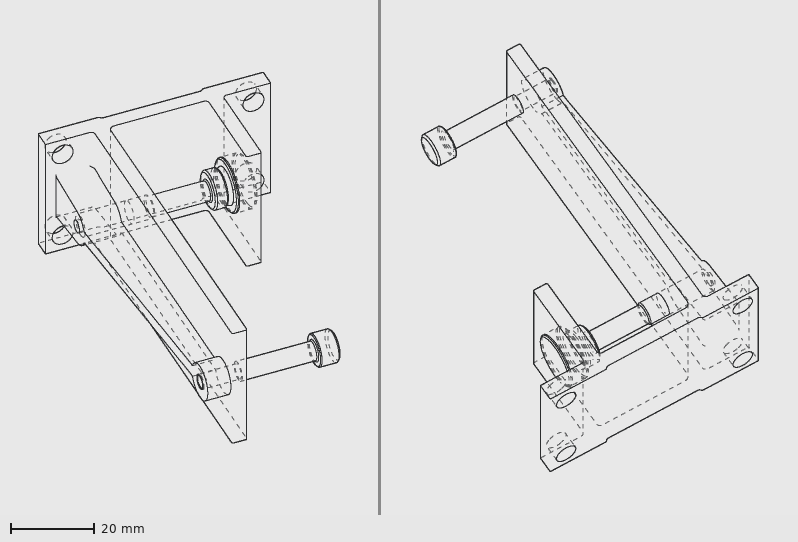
import cadquery as cq
import math

LENGTH = 88.5
HEIGHT = 34.0
PLATE_WIDTH = 59.0
PLATE_THICKNESS = 4.5
ARM_THICKNESS = 4.0
ARM_OFFSET = 15.0
SHORT_ARM_END = 28.05
PLATE_EDGE_RADIUS = 0.3
ARM_EDGE_RADIUS = 0.4
CORNER_RADIUS = 1.0
LONG_ARM_CORNER_RADIUS = 1.5

RECESS_DEPTH = 0.6
RECESS_HALF_WIDTH = 12.65
RECESS_RAMP = 1.3

MOUNT_HOLE_DIAMETER = 5.5
MOUNT_HOLE_SPACING_Y = 50.0
MOUNT_HOLE_SPACING_Z = 25.05

BOSS_RADIUS = 4.8
ROOT_X = 17.0
TIP_X = 83.0
ROOT_BOSS_FACE = -26.7
TIP_BOSS_FACE = -23.0
ROOT_HALF_HEIGHT = 6.1
ROOT_HOLE_RADIUS = 3.3 / 2
ROOT_HOLE_DEPTH = 1.0
RIB_WIDTH = 3.3
RIB_FLAT_X = 77.35
PLATE_BLEND_RADIUS = 0.5
RIB_BLEND_RADIUS = 0.7
FOOT_DEPTH = 1.8
FOOT_MARGIN = 1.8

ADJUSTER_SHAFT_RADIUS = 5.1 / 2
DISC_RADIUS = 14.0 / 2
DISC_OVERHANG = 0.7
DISC_CHAMFER = 0.35
NECK_TOP_RADIUS = 9.8 / 2
NECK_LOW_RADIUS = 9.1 / 2
KNOB_RADIUS = 10.0 / 2
KNOB_TOP = 11.1
KNOB_BOTTOM = 7.6
KNOB_CHAMFER = 0.4
COLLAR_RADIUS = 5.8 / 2
COLLAR_TOP = -7.4

SCREW_SHAFT_RADIUS = 5.0 / 2
HEAD_RADIUS = 8.5 / 2
HEAD_TOP = 12.1
HEAD_BOTTOM = 6.9
HEAD_TOP_CHAMFER = 0.5
HEAD_LOW_CHAMFER = 0.3
SCREW_SPIGOT_RADIUS = 3.8 / 2
SCREW_SPIGOT_CHAMFER = 0.3

UNDERHEAD_FLARE = 0.35

EDGE_PICK = 0.01

HALF_WIDTH = PLATE_WIDTH / 2
ARM_INNER = ARM_OFFSET - ARM_THICKNESS / 2
ARM_OUTER = ARM_OFFSET + ARM_THICKNESS / 2
DISC_TOP = ARM_OUTER + DISC_OVERHANG
DISC_BOTTOM = ARM_INNER - DISC_OVERHANG
ADJUSTER_END = ROOT_BOSS_FACE + ROOT_HOLE_DEPTH


def extrude_up(outline):
    """Extrude a closed XY outline, drawn at the lower face, over the full height."""
    return outline.close().extrude(HEIGHT)


def start_at_bottom():
    return cq.Workplane("XY", origin=(0, 0, -HEIGHT / 2))


def start_facing_front(y):
    """XZ workplane at the given Y; extrusions from it run toward -Y."""
    return cq.Workplane("XZ", origin=(0, y, 0))


def fillet_corners(body, corners, radius):
    """Round the Z-direction edges that pass through the given (x, y) corners."""
    for x, y in corners:
        low = (x - EDGE_PICK, y - EDGE_PICK, -HEIGHT)
        high = (x + EDGE_PICK, y + EDGE_PICK, HEIGHT)
        body = body.edges(cq.selectors.BoxSelector(low, high)).edges("|Z").fillet(radius)
    return body


def make_profile():
    """Plate and both arms as one extruded profile with rounded corners."""
    profile = extrude_up(
        start_at_bottom()
        .moveTo(0, -HALF_WIDTH)
        .lineTo(PLATE_THICKNESS, -HALF_WIDTH)
        .lineTo(PLATE_THICKNESS, -ARM_OUTER)
        .lineTo(LENGTH, -ARM_OUTER)
        .lineTo(LENGTH, -ARM_INNER)
        .lineTo(PLATE_THICKNESS, -ARM_INNER)
        .lineTo(PLATE_THICKNESS, ARM_INNER)
        .lineTo(SHORT_ARM_END, ARM_INNER)
        .lineTo(SHORT_ARM_END, ARM_OUTER)
        .lineTo(PLATE_THICKNESS, ARM_OUTER)
        .lineTo(PLATE_THICKNESS, HALF_WIDTH)
        .lineTo(0, HALF_WIDTH)
    )
    plate_corners = [(0, -HALF_WIDTH), (0, HALF_WIDTH)]
    arm_corners = [
        (LENGTH, -ARM_OUTER),
        (LENGTH, -ARM_INNER),
        (SHORT_ARM_END, ARM_INNER),
        (SHORT_ARM_END, ARM_OUTER),
    ]
    small_corners = [(PLATE_THICKNESS, y) for y in (-ARM_OUTER, ARM_INNER, ARM_OUTER)]
    profile = fillet_corners(profile, plate_corners, PLATE_EDGE_RADIUS)
    profile = fillet_corners(profile, arm_corners, ARM_EDGE_RADIUS)
    profile = fillet_corners(profile, small_corners, CORNER_RADIUS)
    return fillet_corners(profile, [(PLATE_THICKNESS, -ARM_INNER)], LONG_ARM_CORNER_RADIUS)


def make_recess():
    """Shallow relief in the back of the plate; each side is an S-curve of two tangent arcs."""
    inner = RECESS_HALF_WIDTH
    outer = inner + RECESS_RAMP
    middle = (inner + outer) / 2
    half_chord = math.hypot(RECESS_DEPTH, RECESS_RAMP) / 4
    sagitta = half_chord * math.tan(math.atan2(RECESS_DEPTH, RECESS_RAMP) / 2)
    return extrude_up(
        start_at_bottom()
        .moveTo(0, -outer)
        .sagittaArc((RECESS_DEPTH / 2, -middle), sagitta)
        .sagittaArc((RECESS_DEPTH, -inner), -sagitta)
        .lineTo(RECESS_DEPTH, inner)
        .sagittaArc((RECESS_DEPTH / 2, middle), -sagitta)
        .sagittaArc((0, outer), sagitta)
    )


def make_mount_holes():
    return (
        cq.Workplane("YZ")
        .rect(MOUNT_HOLE_SPACING_Y, MOUNT_HOLE_SPACING_Z, forConstruction=True)
        .vertices()
        .circle(MOUNT_HOLE_DIAMETER / 2)
        .extrude(PLATE_THICKNESS)
    )


def make_root_boss():
    """Tapered block from the plate, closed by an arc tangent to both flanks."""
    run = ROOT_X - PLATE_THICKNESS
    flank_tilt = math.asin(BOSS_RADIUS / math.hypot(run, ROOT_HALF_HEIGHT))
    flank_tilt -= math.atan2(ROOT_HALF_HEIGHT, run)
    tangent_x = ROOT_X - BOSS_RADIUS * math.sin(flank_tilt)
    tangent_z = BOSS_RADIUS * math.cos(flank_tilt)
    return (
        start_facing_front(-ARM_INNER)
        .moveTo(PLATE_THICKNESS, -ROOT_HALF_HEIGHT)
        .lineTo(tangent_x, -tangent_z)
        .threePointArc((ROOT_X + BOSS_RADIUS, 0), (tangent_x, tangent_z))
        .lineTo(PLATE_THICKNESS, ROOT_HALF_HEIGHT)
        .close()
        .extrude(-ARM_INNER - ROOT_BOSS_FACE)
    )


def make_tip_boss():
    boss = start_facing_front(-ARM_OUTER).center(TIP_X, 0).circle(BOSS_RADIUS)
    return boss.extrude(-ARM_OUTER - TIP_BOSS_FACE)


def make_rib():
    """Rib between the bosses; it slopes down to the height of the tip boss."""
    return (
        cq.Workplane("XY")
        .moveTo(ROOT_X, -ARM_INNER)
        .lineTo(ROOT_X, ROOT_BOSS_FACE)
        .lineTo(ROOT_X + BOSS_RADIUS, ROOT_BOSS_FACE)
        .lineTo(RIB_FLAT_X, TIP_BOSS_FACE)
        .lineTo(TIP_X, TIP_BOSS_FACE)
        .lineTo(TIP_X, -ARM_INNER)
        .close()
        .extrude(RIB_WIDTH / 2, both=True)
    )


def make_foot():
    """Slab inside the plate that gives the root boss a face to blend into."""
    foot = start_facing_front(-ARM_INNER).center(PLATE_THICKNESS - FOOT_DEPTH / 2, 0)
    foot = foot.rect(FOOT_DEPTH, 2 * (ROOT_HALF_HEIGHT + FOOT_MARGIN))
    return foot.extrude(-ARM_INNER - ROOT_BOSS_FACE)


def make_boss_and_rib():
    """Root boss and rib, with rounded corners toward the plate and between the two."""
    rib_joint_x = ROOT_X + math.sqrt(BOSS_RADIUS**2 - (RIB_WIDTH / 2) ** 2)
    joints = [
        (PLATE_THICKNESS, ROOT_HALF_HEIGHT, PLATE_BLEND_RADIUS),
        (rib_joint_x, RIB_WIDTH / 2, RIB_BLEND_RADIUS),
    ]
    body = make_root_boss().union(make_foot()).union(make_rib())
    for x, z, radius in joints:
        for side in (-1, 1):
            low = (x - EDGE_PICK, ROOT_BOSS_FACE, side * z - EDGE_PICK)
            high = (x + EDGE_PICK, -ARM_INNER, side * z + EDGE_PICK)
            body = body.edges(cq.selectors.BoxSelector(low, high)).edges("|Y").fillet(radius)
    return body


def make_bore(x, radius, y_low, y_high):
    """Cylinder along Y, used to cut round holes and seats."""
    return start_facing_front(y_high).center(x, 0).circle(radius).extrude(y_high - y_low)


def make_bracket():
    bracket = make_profile().cut(make_recess()).cut(make_mount_holes())
    bracket = bracket.union(make_boss_and_rib()).union(make_tip_boss())
    bracket = bracket.cut(make_bore(ROOT_X, DISC_RADIUS, ARM_INNER, ARM_OUTER))
    bracket = bracket.cut(make_bore(ROOT_X, COLLAR_RADIUS, ADJUSTER_END, -ARM_INNER))
    bracket = bracket.cut(make_bore(ROOT_X, ROOT_HOLE_RADIUS, ROOT_BOSS_FACE, ADJUSTER_END))
    return bracket.cut(make_bore(TIP_X, SCREW_SPIGOT_RADIUS, TIP_BOSS_FACE, -ARM_INNER))


def turn(x, outline):
    """Revolve (radius, y) points about the Y-direction axis at the given X."""
    turned = cq.Workplane("XY").polyline(outline).close()
    return turned.revolve(360, (0, 0), (0, 1)).translate((x, 0, 0))


def make_adjuster():
    collar_chamfer = COLLAR_RADIUS - ADJUSTER_SHAFT_RADIUS
    knob_bevel = KNOB_RADIUS - NECK_LOW_RADIUS
    return turn(ROOT_X, [
        (0, DISC_TOP),
        (DISC_RADIUS - DISC_CHAMFER, DISC_TOP),
        (DISC_RADIUS, DISC_TOP - DISC_CHAMFER),
        (DISC_RADIUS, DISC_BOTTOM + DISC_CHAMFER),
        (DISC_RADIUS - DISC_CHAMFER, DISC_BOTTOM),
        (NECK_TOP_RADIUS, DISC_BOTTOM),
        (NECK_LOW_RADIUS, KNOB_TOP),
        (KNOB_RADIUS, KNOB_TOP - knob_bevel),
        (KNOB_RADIUS, KNOB_BOTTOM + KNOB_CHAMFER),
        (KNOB_RADIUS - KNOB_CHAMFER, KNOB_BOTTOM),
        (ADJUSTER_SHAFT_RADIUS + UNDERHEAD_FLARE, KNOB_BOTTOM),
        (ADJUSTER_SHAFT_RADIUS, KNOB_BOTTOM - UNDERHEAD_FLARE),
        (ADJUSTER_SHAFT_RADIUS, COLLAR_TOP),
        (COLLAR_RADIUS, COLLAR_TOP - collar_chamfer),
        (COLLAR_RADIUS, ADJUSTER_END),
        (0, ADJUSTER_END),
    ])


def make_screw():
    return turn(TIP_X, [
        (0, HEAD_TOP),
        (HEAD_RADIUS - HEAD_TOP_CHAMFER, HEAD_TOP),
        (HEAD_RADIUS, HEAD_TOP - HEAD_TOP_CHAMFER),
        (HEAD_RADIUS, HEAD_BOTTOM + HEAD_LOW_CHAMFER),
        (HEAD_RADIUS - HEAD_LOW_CHAMFER, HEAD_BOTTOM),
        (SCREW_SHAFT_RADIUS + UNDERHEAD_FLARE, HEAD_BOTTOM),
        (SCREW_SHAFT_RADIUS, HEAD_BOTTOM - UNDERHEAD_FLARE),
        (SCREW_SHAFT_RADIUS, -ARM_INNER),
        (SCREW_SPIGOT_RADIUS, -ARM_INNER),
        (SCREW_SPIGOT_RADIUS, TIP_BOSS_FACE + SCREW_SPIGOT_CHAMFER),
        (SCREW_SPIGOT_RADIUS - SCREW_SPIGOT_CHAMFER, TIP_BOSS_FACE),
        (0, TIP_BOSS_FACE),
    ])


bracket = make_bracket()
adjuster = make_adjuster()
screw = make_screw()

result = cq.Compound.makeCompound([bracket.val(), adjuster.val(), screw.val()])